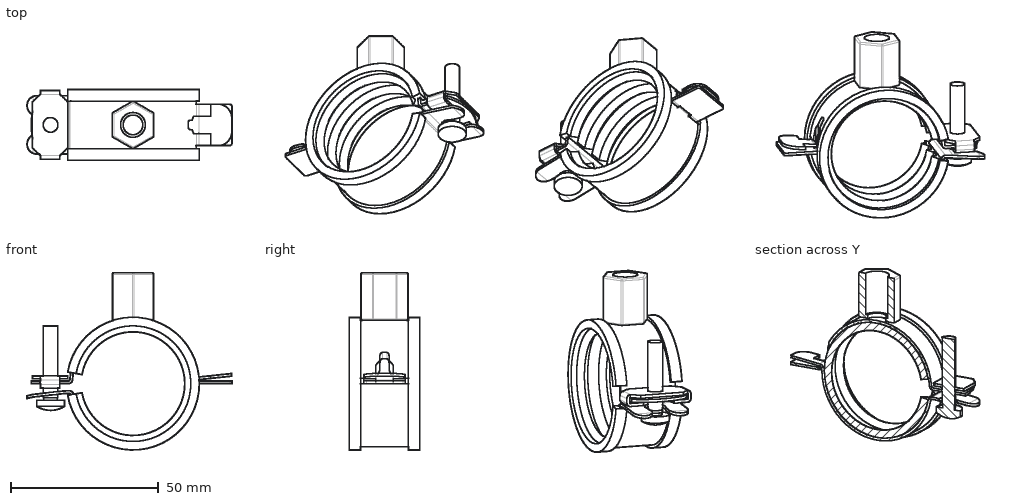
import cadquery as cq
import math

liner_outer_radius = 22.5
liner_base_radius = 19.55
liner_rib_radius = 17.5
liner_width = 24.0
flange_width = 3.95
rib_half_width = 2.0
rib_spacing = 8.0
gap_half_angle = 10.0

band_outer_radius = 21.4
sheet_thickness = 1.0
band_inner_radius = band_outer_radius - sheet_thickness
band_width = 19.85
gap_bend_radius = 0.4

strap_top = 1.0
strap_end_x = -34.5
strap_corner_x = -31.55
hinge_tab_width = 14.0
flat_tab_top = strap_top
flat_tab_end_x = 33.5
flat_tab_corner_radius = 0.8
flat_tab_bend_radius = 1.0
slot_start_x = 18.65
slot_flare_x = 20.0
slot_full_width_x = 20.5
slot_width = 3.2
slot_corner_radius = 0.8

hook_tab_top = 2.3
hook_tab_end_x = 33.35
hook_tab_rise = 1.2
hook_tab_corner_radius = 4.6
hook_bend_radius = 0.8
hook_neck_width = 5.95
hook_neck_end_x = 26.2
fork_top = -2.35
fork_bow_radius = 23.6
fork_slope = 6.5
ear_bend_x = -33.85
ear_slope = 13.5
ear_tip_x = -35.85
ear_radius = 3.4
keyhole_diameter = 7.0

screw_x = -27.9
shank_diameter = 5.0
relief_diameter = 4.9
neck_diameter = 4.65
head_diameter = 9.5
screw_top = 19.55
shank_bottom = -3.8
relief_bottom = -4.7
head_top = -5.55
head_rim_bottom = -7.7
dome_height = 1.4

clip_thickness = 1.05
clip_top = 2.65
clip_bottom = -1.5
clip_left_x = -34.0
clip_right_x = -22.05
clip_width = 23.3
clip_plate_width = 20.95
clip_corner_cut = 2.7
hook_end_y = 5.55
clip_bend_radius = 1.3

boss_across_flats = 14.0
boss_top = 37.5
boss_bottom = band_outer_radius
boss_edge_radius = 0.55
boss_bore_diameter = 8.4
boss_floor_hole_diameter = 6.65
boss_floor_thickness = 1.4


def xz_solid(sketch_points, width):
    """Extrude a closed polygon of (x, z) points symmetrically along Y."""
    return cq.Workplane("XZ").polyline(sketch_points).close().extrude(width / 2, both=True)


def polar(center, radius, angle):
    """Point (x, z) at an angle in degrees around a centre."""
    turn = math.radians(angle)
    return (center[0] + radius * math.cos(turn), center[1] + radius * math.sin(turn))


def arc_sheet(center, inner, start, end, width):
    """Sheet bent about a line along Y, between two angles in degrees measured from +X toward +Z."""
    outer = inner + sheet_thickness
    middle = (start + end) / 2
    return (
        cq.Workplane("XZ")
        .moveTo(*polar(center, inner, start))
        .lineTo(*polar(center, outer, start))
        .threePointArc(polar(center, outer, middle), polar(center, outer, end))
        .lineTo(*polar(center, inner, end))
        .threePointArc(polar(center, inner, middle), polar(center, inner, start))
        .close()
        .extrude(width / 2, both=True)
    )


def bend_center(height, radius, side):
    """Centre (x, z) at a given height of a bend that touches the outside of the band."""
    return (side * math.sqrt((band_outer_radius + radius) ** 2 - height**2), height)


def band_angle(center):
    """Angle above or below the X axis at which a bend leaves the band."""
    return math.degrees(math.atan2(center[1], abs(center[0])))


def flat_sheet(top_points, width):
    """Sheet that follows a chain of (x, z) points along its top face."""
    bottom_points = [(x, z - sheet_thickness) for x, z in reversed(top_points)]
    return xz_solid(top_points + bottom_points, width)


def tall(outline):
    """Extrude a plan outline through the full height of the clamp."""
    return outline.extrude(liner_outer_radius, both=True)


def make_liner():
    half_width = liner_width / 2
    slot_half_width = band_width / 2
    lip_edge = half_width - flange_width
    profile = [
        (liner_base_radius, -half_width),
        (liner_outer_radius, -half_width),
        (liner_outer_radius, -lip_edge),
        (band_outer_radius, -lip_edge),
        (band_outer_radius, -slot_half_width),
        (band_inner_radius, -slot_half_width),
        (band_inner_radius, slot_half_width),
        (band_outer_radius, slot_half_width),
        (band_outer_radius, lip_edge),
        (liner_outer_radius, lip_edge),
        (liner_outer_radius, half_width),
        (liner_base_radius, half_width),
    ]
    for rib_center in (rib_spacing, 0, -rib_spacing):
        profile.append((liner_base_radius, rib_center + rib_half_width))
        profile.append((liner_rib_radius, rib_center))
        profile.append((liner_base_radius, rib_center - rib_half_width))
    ring = cq.Workplane("XY").polyline(profile).close().revolve(360, (0, 0, 0), (0, 1, 0))
    reach = 2 * liner_outer_radius
    rise = reach * math.tan(math.radians(gap_half_angle))
    gap = xz_solid([(0, 0), (-reach, rise), (-reach, -rise)], 2 * liner_width)
    return ring.cut(gap)


def screw_hole():
    return tall(cq.Workplane("XY").center(screw_x, 0).circle(shank_diameter / 2))


def make_strap(bend_x):
    """Flat strap that runs from the gap bend to an end shaped as a shallow arc."""
    outline = (
        cq.Workplane("XY")
        .moveTo(bend_x, -band_width / 2)
        .lineTo(strap_corner_x, -band_width / 2)
        .threePointArc((strap_end_x, 0), (strap_corner_x, band_width / 2))
        .lineTo(bend_x, band_width / 2)
        .close()
    )
    strap = flat_sheet([(strap_end_x, strap_top), (bend_x, strap_top)], band_width)
    return strap.intersect(tall(outline)).cut(screw_hole())


def hinge_slot(end_x):
    """Slot in plan: narrow and rounded at its start, then flared to pass the hooked neck."""
    outline = [
        (slot_start_x, slot_width / 2),
        (slot_flare_x, slot_width / 2),
        (slot_full_width_x, hook_neck_width / 2),
        (end_x, hook_neck_width / 2),
        (end_x, -hook_neck_width / 2),
        (slot_full_width_x, -hook_neck_width / 2),
        (slot_flare_x, -slot_width / 2),
        (slot_start_x, -slot_width / 2),
    ]
    slot = tall(cq.Workplane("XY").polyline(outline).close())
    return slot.edges("|Z and <X").fillet(slot_corner_radius)


def make_upper_band():
    gap = bend_center(strap_top + gap_bend_radius, gap_bend_radius, -1)
    hinge = bend_center(flat_tab_top + flat_tab_bend_radius, flat_tab_bend_radius, 1)
    gap_angle = band_angle(gap)
    hinge_angle = band_angle(hinge)

    band = arc_sheet((0, 0), band_inner_radius, hinge_angle, 180 - gap_angle, band_width)
    gap_bend = arc_sheet(gap, gap_bend_radius, -90, -gap_angle, band_width)
    hinge_bend = arc_sheet(hinge, flat_tab_bend_radius, 180 + hinge_angle, 270, hinge_tab_width)
    tab = flat_sheet([(hinge[0], flat_tab_top), (flat_tab_end_x, flat_tab_top)], hinge_tab_width)
    tab = tab.edges("|Z and >X").fillet(flat_tab_corner_radius)
    body = band.union(gap_bend).union(make_strap(gap[0])).union(hinge_bend).union(tab)
    return body.cut(hinge_slot(hinge[0]))


def make_fork(bend_x):
    """Forked tab that bows and slopes away from the gap bend and ends in two round ears."""
    bow_center = (bend_x, fork_top - fork_bow_radius)
    bow_middle = polar(bow_center, fork_bow_radius, 90 + fork_slope / 2)
    bow_end = polar(bow_center, fork_bow_radius, 90 + fork_slope)
    ear_bend_z = bow_end[1] + (ear_bend_x - bow_end[0]) * math.tan(math.radians(fork_slope))
    ear_tip_z = ear_bend_z + (ear_tip_x - ear_bend_x) * math.tan(math.radians(ear_slope))
    sheet = (
        cq.Workplane("XZ")
        .moveTo(bend_x, fork_top)
        .threePointArc(bow_middle, bow_end)
        .lineTo(ear_bend_x, ear_bend_z)
        .lineTo(ear_tip_x, ear_tip_z)
        .lineTo(ear_tip_x, ear_tip_z - sheet_thickness)
        .lineTo(ear_bend_x, ear_bend_z - sheet_thickness)
        .lineTo(bow_end[0], bow_end[1] - sheet_thickness)
        .threePointArc((bow_middle[0], bow_middle[1] - sheet_thickness), (bend_x, fork_top - sheet_thickness))
        .close()
        .extrude(band_width / 2, both=True)
    )

    ear_x = ear_tip_x + ear_radius
    ear_y = band_width / 2 - ear_radius
    plate_length = bend_x - ear_x
    plate = tall(cq.Workplane("XY").center(ear_x + plate_length / 2, 0).rect(plate_length, band_width))
    ears = tall(cq.Workplane("XY").pushPoints([(ear_x, ear_y), (ear_x, -ear_y)]).circle(ear_radius))
    entry_length = screw_x - ear_tip_x
    entry_width = band_width - 4 * ear_radius
    entry = tall(cq.Workplane("XY").center(screw_x - entry_length / 2, 0).rect(entry_length, entry_width))
    keyhole = tall(cq.Workplane("XY").center(screw_x, 0).circle(keyhole_diameter / 2))
    return sheet.intersect(plate.union(ears)).cut(entry).cut(keyhole)


def make_hook_tab(bend_x):
    """Tab that rises outward from the hinge: a narrow neck, then a wide head with rounded corners."""
    tab = flat_sheet(
        [(bend_x, hook_tab_top), (hook_tab_end_x, hook_tab_top + hook_tab_rise)], hinge_tab_width
    )
    tab = tab.edges("|Z and >X").fillet(hook_tab_corner_radius)
    neck_length = hook_neck_end_x - bend_x
    notch_width = hinge_tab_width - hook_neck_width
    for side in (1, -1):
        notch = cq.Workplane("XY").center(bend_x + neck_length / 2, side * hinge_tab_width / 2)
        tab = tab.cut(tall(notch.rect(neck_length, notch_width)))
    return tab


def make_lower_band():
    gap = bend_center(fork_top - sheet_thickness - gap_bend_radius, gap_bend_radius, -1)
    hinge = bend_center(hook_tab_top - sheet_thickness - hook_bend_radius, hook_bend_radius, 1)
    gap_angle = -band_angle(gap)
    hinge_angle = band_angle(hinge)

    band = arc_sheet((0, 0), band_inner_radius, 180 + gap_angle, 360, band_width)
    gap_bend = arc_sheet(gap, gap_bend_radius, gap_angle, 90, band_width)
    neck = arc_sheet((0, 0), band_inner_radius, 0, hinge_angle, hook_neck_width)
    hook_bend = arc_sheet(hinge, hook_bend_radius, 90, 180 + hinge_angle, hook_neck_width)
    body = band.union(gap_bend).union(make_fork(gap[0]))
    return body.union(neck).union(hook_bend).union(make_hook_tab(hinge[0]))


def make_screw():
    head_radius = head_diameter / 2
    dome_sphere = (head_radius**2 + dome_height**2) / (2 * dome_height)
    middle_radius = head_radius / 2
    middle_drop = math.sqrt(dome_sphere**2 - middle_radius**2) - (dome_sphere - dome_height)
    return (
        cq.Workplane("XZ", origin=(screw_x, 0, 0))
        .moveTo(0, screw_top)
        .lineTo(shank_diameter / 2, screw_top)
        .lineTo(shank_diameter / 2, shank_bottom)
        .lineTo(relief_diameter / 2, shank_bottom)
        .lineTo(relief_diameter / 2, relief_bottom)
        .lineTo(neck_diameter / 2, relief_bottom)
        .lineTo(neck_diameter / 2, head_top)
        .lineTo(head_radius, head_top)
        .lineTo(head_radius, head_rim_bottom)
        .threePointArc((middle_radius, head_rim_bottom - middle_drop), (0, head_rim_bottom - dome_height))
        .close()
        .revolve(360, (0, 0, 0), (0, 1, 0))
    )


def make_clip():
    length = clip_right_x - clip_left_x
    height = clip_top - clip_bottom
    middle_x = (clip_left_x + clip_right_x) / 2
    middle_z = (clip_top + clip_bottom) / 2

    tube = cq.Workplane("XY").box(length, clip_width, height).edges("|X").fillet(clip_bend_radius)
    hollow = cq.Workplane("XY").box(length, clip_width - 2 * clip_thickness, height - 2 * clip_thickness)
    hollow = hollow.edges("|X").fillet(clip_bend_radius - clip_thickness)
    opening = cq.Workplane("XY").box(length, 2 * hook_end_y, height).translate((0, 0, -height / 2))
    wrap = tube.cut(hollow).cut(opening).translate((middle_x, 0, middle_z))

    hook_length = length - 2 * clip_corner_cut
    plate = cq.Workplane("XY").box(length, clip_plate_width, height).edges("|Z").chamfer(clip_corner_cut)
    plate = plate.translate((middle_x, 0, clip_top - clip_thickness + height / 2))
    hooks = cq.Workplane("XY").box(hook_length, clip_width, height).translate((middle_x, 0, middle_z))
    return wrap.intersect(plate.union(hooks)).cut(screw_hole())


def make_boss():
    corner_diameter = boss_across_flats / math.cos(math.radians(30))
    hexagon = cq.Workplane("XY").workplane(offset=boss_bottom).polygon(6, corner_diameter)
    boss = hexagon.extrude(boss_top - boss_bottom).rotate((0, 0, 0), (0, 0, 1), 30)
    boss = boss.edges().fillet(boss_edge_radius)
    bore_depth = boss_top - boss_bottom - boss_floor_thickness
    return boss.faces(">Z").workplane().cboreHole(boss_floor_hole_diameter, boss_bore_diameter, bore_depth)


liner = make_liner()
upper_band = make_upper_band()
lower_band = make_lower_band()
screw = make_screw()
clip = make_clip()
boss = make_boss()

result = cq.Compound.makeCompound(
    [liner.val(), upper_band.val(), lower_band.val(), screw.val(), clip.val(), boss.val()]
)